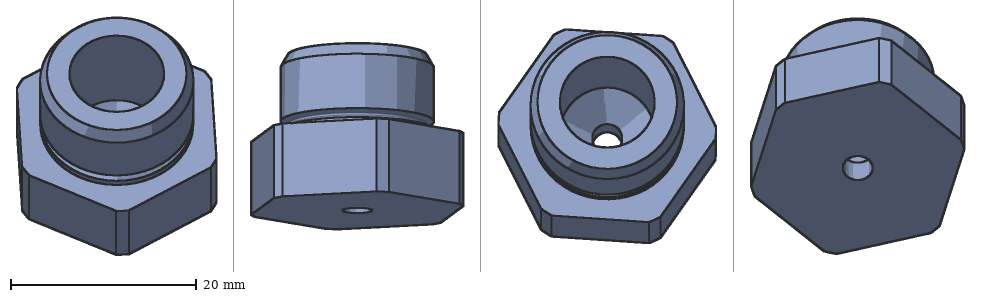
import cadquery as cq
import math

across_flats = 21.0
corner_diameter = 23.5
head_height = 8.0
corner_angle = 30.0

total_height = 17.0
neck_diameter = 16.55
tip_chamfer_width = 0.75
tip_chamfer_slope = 60.0

collar_height = 0.75
groove_width = 0.99
groove_angle = 60.0
groove_root_radius = 0.15

bore_diameter = 10.2
hole_diameter = 3.22
bore_depth = 11.75
cone_angle = 118.0


def make_head():
    """Hexagonal prism with flats facing -Y and +Y and its corners turned down to a cylinder."""
    hexagon = (
        cq.Workplane("XY")
        .transformed(rotate=(0, 0, corner_angle))
        .polygon(6, across_flats, circumscribed=True)
        .extrude(head_height)
    )
    corner_cylinder = cq.Workplane("XY").circle(corner_diameter / 2).extrude(head_height)
    return hexagon.intersect(corner_cylinder)


def make_neck():
    """Turned neck with the relief groove and the chamfered tip."""
    neck_radius = neck_diameter / 2
    tip_radius = neck_radius - tip_chamfer_width
    chamfer_start = total_height - tip_chamfer_width * math.tan(math.radians(tip_chamfer_slope))

    groove_bottom = head_height + collar_height
    groove_top = groove_bottom + groove_width
    groove_middle = (groove_bottom + groove_top) / 2

    half_angle = math.radians(groove_angle / 2)
    sharp_root_radius = neck_radius - groove_width / 2 / math.tan(half_angle)
    arc_center_radius = sharp_root_radius + groove_root_radius / math.sin(half_angle)
    root_radius = arc_center_radius - groove_root_radius
    tangent_radius = arc_center_radius - groove_root_radius * math.sin(half_angle)
    tangent_offset = groove_root_radius * math.cos(half_angle)

    profile = (
        cq.Workplane("XZ")
        .moveTo(0, head_height)
        .lineTo(neck_radius, head_height)
        .lineTo(neck_radius, groove_bottom)
        .lineTo(tangent_radius, groove_middle - tangent_offset)
        .threePointArc(
            (root_radius, groove_middle),
            (tangent_radius, groove_middle + tangent_offset),
        )
        .lineTo(neck_radius, groove_top)
        .lineTo(neck_radius, chamfer_start)
        .lineTo(tip_radius, total_height)
        .lineTo(0, total_height)
        .close()
    )
    return profile.revolve(360, (0, 0), (0, 1))


def make_bore():
    """Straight bore, its conical bottom and the through hole, as one cutting body."""
    bore_radius = bore_diameter / 2
    hole_radius = hole_diameter / 2
    cone_top = total_height - bore_depth
    cone_height = (bore_radius - hole_radius) / math.tan(math.radians(cone_angle / 2))

    profile = [
        (0, 0),
        (hole_radius, 0),
        (hole_radius, cone_top - cone_height),
        (bore_radius, cone_top),
        (bore_radius, total_height),
        (0, total_height),
    ]
    return cq.Workplane("XZ").polyline(profile).close().revolve(360, (0, 0), (0, 1))


result = make_head().union(make_neck()).cut(make_bore())